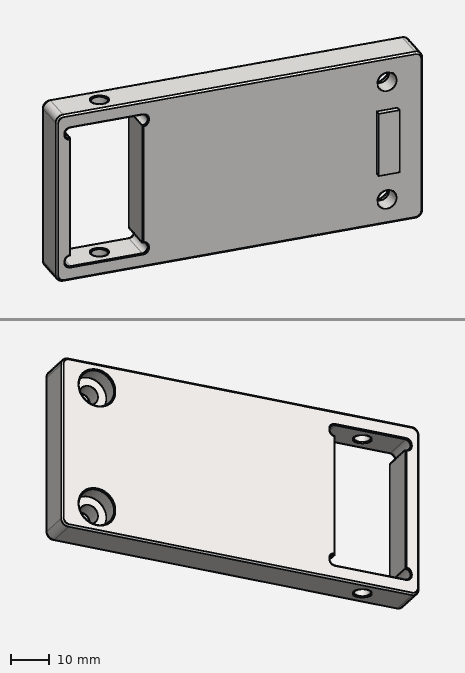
import cadquery as cq

length = 102.0
height = 48.0
thickness = 10.0
corner_radius = 2.0
rim_chamfer = 0.5

key_depth = 1.5
key_width = 5.8
key_height = 18.0

end_offset = 10.0
mount_y = length / 2 - end_offset
mount_spacing = 34.0
mount_diameter = 5.3
counterbore_diameter = 10.0
counterbore_depth = 5.0

window_width = 20.0
window_height = 40.0
window_margin = 4.0
window_y = -length / 2 + window_margin + window_width / 2
relief_radius = 1.5

cross_diameter = 4.4

edge_break = 0.3


def make_plate():
    plate = cq.Workplane("YZ").rect(length, height).extrude(thickness)
    plate = plate.edges("|X").fillet(corner_radius)
    return plate.faces("<X or >X").chamfer(rim_chamfer)


def make_key():
    """Rectangular key standing proud of the back face."""
    return (
        cq.Workplane("YZ", origin=(thickness, mount_y, 0))
        .rect(key_width, key_height)
        .extrude(key_depth)
    )


def make_mount_hole(z):
    """Stepped hole whose counterbore opens on the front face with a broken edge."""
    front = cq.Workplane("YZ", origin=(0, mount_y, z))
    bore = front.circle(mount_diameter / 2).extrude(thickness)
    counterbore = front.circle(counterbore_diameter / 2).extrude(counterbore_depth)
    edge = front.circle(counterbore_diameter / 2 + edge_break)
    edge = edge.workplane(offset=edge_break).circle(counterbore_diameter / 2).loft()
    return bore.union(counterbore).union(edge)


def cut_window(plate):
    """Cut the window with reliefs centred on its side walls, then break its front and back edges."""
    center = cq.Workplane("YZ", origin=(0, window_y, 0))
    relief_length = window_width + 2 * relief_radius
    relief_z = window_height / 2 - relief_radius
    window = center.rect(window_width, window_height).extrude(thickness)
    reliefs = (
        center.pushPoints([(0, -relief_z), (0, relief_z)])
        .slot2D(relief_length, 2 * relief_radius)
        .extrude(thickness)
    )
    plate = plate.cut(window.union(reliefs).clean())

    for face_x in (0, thickness):
        around_window = cq.selectors.BoxSelector(
            (face_x - edge_break, window_y - relief_length / 2, -window_height / 2 - edge_break),
            (face_x + edge_break, window_y + relief_length / 2, window_height / 2 + edge_break),
        )
        plate = plate.edges(around_window).chamfer(edge_break)
    return plate


def make_rail_hole(side):
    """Vertical hole through the upper (+1) or lower (-1) rail, with both ends chamfered."""
    radius = cross_diameter / 2
    inner_z = side * window_height / 2
    outer_z = side * height / 2
    chamfer_step = side * edge_break
    profile = (
        cq.Workplane("XZ", origin=(thickness / 2, window_y, 0))
        .moveTo(0, inner_z)
        .lineTo(radius + edge_break, inner_z)
        .lineTo(radius, inner_z + chamfer_step)
        .lineTo(radius, outer_z - chamfer_step)
        .lineTo(radius + edge_break, outer_z)
        .lineTo(0, outer_z)
        .close()
    )
    return profile.revolve(360, (0, 0), (0, 1))


result = cut_window(make_plate())
for side in (-1, 1):
    result = result.cut(make_mount_hole(side * mount_spacing / 2))
    result = result.cut(make_rail_hole(side))
result = result.union(make_key())